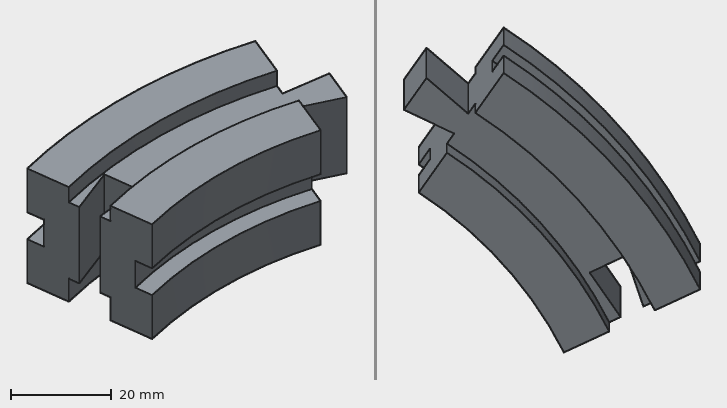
import cadquery as cq
import math

width = 30.0
height = 30.0
center_radius = 100.0
bend_angle = 30.0

face_groove_width = 10.0
top_groove_depth = 4.0
bottom_groove_depth = 6.0
side_groove_height = 7.0
side_groove_depth = 4.0

joint_length = 11.0
joint_neck_width = 5.0
joint_tip_width = 8.0

inner_radius = center_radius - width / 2
outer_radius = center_radius + width / 2
bend_center_x = outer_radius
web_bottom = bottom_groove_depth
web_height = height - top_groove_depth - bottom_groove_depth


def curved_bar(radius_in, radius_out, z_bottom, bar_height):
    """Bar of rectangular section swept through the bend angle."""

    def arc_point(radius, angle):
        turn = math.radians(angle)
        return (bend_center_x - radius * math.cos(turn), radius * math.sin(turn))

    return (
        cq.Workplane("XY", origin=(0, 0, z_bottom))
        .moveTo(*arc_point(radius_out, 0))
        .threePointArc(arc_point(radius_out, bend_angle / 2), arc_point(radius_out, bend_angle))
        .lineTo(*arc_point(radius_in, bend_angle))
        .threePointArc(arc_point(radius_in, bend_angle / 2), arc_point(radius_in, 0))
        .close()
        .extrude(bar_height)
    )


def dovetail(z_bottom, dovetail_height):
    """Dovetail at the start face, narrow at Y = 0 and widening toward +Y."""
    center_x = width / 2
    return (
        cq.Workplane("XY", origin=(center_x, 0, z_bottom))
        .polyline([
            (-joint_neck_width / 2, 0),
            (joint_neck_width / 2, 0),
            (joint_tip_width / 2, joint_length),
            (-joint_tip_width / 2, joint_length),
        ])
        .close()
        .extrude(dovetail_height)
    )


track = curved_bar(inner_radius, outer_radius, 0, height)

groove_inner = center_radius - face_groove_width / 2
groove_outer = center_radius + face_groove_width / 2
top_groove_floor = height - top_groove_depth
track = track.cut(curved_bar(groove_inner, groove_outer, top_groove_floor, top_groove_depth))
track = track.cut(curved_bar(groove_inner, groove_outer, 0, bottom_groove_depth))

side_groove_bottom = (height - side_groove_height) / 2
for radius_in in (inner_radius, outer_radius - side_groove_depth):
    radius_out = radius_in + side_groove_depth
    track = track.cut(curved_bar(radius_in, radius_out, side_groove_bottom, side_groove_height))

track = track.cut(dovetail(0, height))

tongue = dovetail(web_bottom, web_height).rotate(
    (bend_center_x, 0, 0), (bend_center_x, 0, 1), -bend_angle
)

result = track.union(tongue)